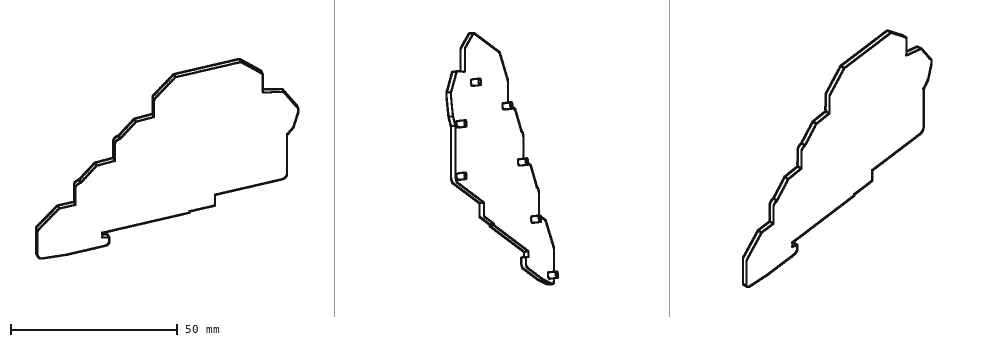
import cadquery as cq

length = 82.8
height = 61.3
plate_thickness = 1.5
pin_length = 2.5
pin_diameter = 2.0

head_front_y = 37.0
head_back_y = 71.5
head_top_front_y = 43.7
head_top_back_y = 64.6
head_shoulder_z = 54.4
head_base_z = 47.3
head_foot_shoulder_radius = 1.0
head_back_base_z = 47.0

step_run = 12.5
step_drop = 14.0
step_count = 2
ledge_length = 5.8
ledge_slope_drop = 0.25
step_slant = 5.05
step_slant_drop = 5.4
step_shoulder_z_drop = 7.0
shoulder_mid_run = 0.5
shoulder_mid_rise = 0.9

foot_nose_y = 6.8
foot_top_z = head_base_z - step_count * step_drop
foot_shoulder_z = 12.5
foot_slope_start_y = 9.3
foot_front_z = 0.9
foot_corner_radius = 1.65
hook_root_y = 20.5
hook_root_z = 3.7
hook_tip_y = 22.8
hook_tip_z = 3.1
hook_lower_radius = 1.4
hook_upper_radius = 0.4

rail_z = 5.5
rail_back_y = 48.3
pad_z = 6.0
pad_back_y = 56.3
base_z = 10.3
back_y = 79.2
base_corner_radius = 1.8
pad_corner_radius = 0.3

lobe_start_z = 27.7
lobe_lower = (81.2, 30.1)
lobe_tip_lower_z = 35.85
lobe_tip_upper_z = 37.25
lobe_slant_start = (82.05, 38.4)
lobe_top = (78.15, 45.2)
lobe_top_radius = 0.7

corner_search_reach = 0.04

head_pin_z = 45.2
pin_centres = [
    (65.8, head_pin_z),
    (40.5, head_pin_z),
    (28.1, head_pin_z - step_drop),
    (17.55, 16.3),
    (4.0, 2.7),
    (77.3, 28.7),
    (77.3, 12.25),
]


def add_step(outline, index):
    """Add a sloping ledge, a slanted face and a rounded shoulder down to the next ledge."""
    start_y = head_front_y - index * step_run
    start_z = head_base_z - index * step_drop
    nose_y = start_y - ledge_length
    nose_z = start_z - ledge_slope_drop
    slant_end_y = nose_y - step_slant
    slant_end_z = nose_z - step_slant_drop
    end_y = start_y - step_run
    shoulder_z = start_z - step_shoulder_z_drop
    return (
        outline.lineTo(nose_y, nose_z)
        .lineTo(slant_end_y, slant_end_z)
        .threePointArc((end_y + shoulder_mid_run, shoulder_z + shoulder_mid_rise), (end_y, shoulder_z))
        .lineTo(end_y, start_z - step_drop)
    )


def round_corner(plate, y, z, radius):
    """Round the plate edge running along X through the outline corner (y, z)."""
    reach = corner_search_reach
    corner = cq.selectors.BoxSelector(
        (-reach, y - reach, z - reach),
        (plate_thickness + reach, y + reach, z + reach),
    )
    return plate.edges("|X").edges(corner).fillet(radius)


def make_plate():
    outline = (
        cq.Workplane("YZ")
        .moveTo(head_back_y, head_back_base_z)
        .lineTo(head_back_y, head_shoulder_z)
        .lineTo(head_top_back_y, height)
        .lineTo(head_top_front_y, height)
        .lineTo(head_front_y, head_shoulder_z)
        .lineTo(head_front_y, head_base_z)
    )
    for index in range(step_count):
        outline = add_step(outline, index)
    outline = (
        outline.lineTo(foot_nose_y, foot_top_z)
        .lineTo(0, foot_shoulder_z)
        .lineTo(0, foot_front_z)
        .lineTo(foot_slope_start_y, 0)
        .lineTo(hook_tip_y, 0)
        .lineTo(hook_tip_y, hook_tip_z)
        .lineTo(hook_root_y, hook_root_z)
        .lineTo(hook_root_y, rail_z)
        .lineTo(rail_back_y, rail_z)
        .lineTo(rail_back_y, pad_z)
        .lineTo(pad_back_y, pad_z)
        .lineTo(pad_back_y, base_z)
        .lineTo(back_y, base_z)
        .lineTo(back_y, lobe_start_z)
        .lineTo(*lobe_lower)
        .lineTo(length, lobe_tip_lower_z)
        .lineTo(length, lobe_tip_upper_z)
        .lineTo(*lobe_slant_start)
        .lineTo(*lobe_top)
        .close()
    )
    plate = outline.extrude(plate_thickness)
    rounded_corners = [
        (head_back_y, head_shoulder_z, head_foot_shoulder_radius),
        (head_front_y, head_shoulder_z, head_foot_shoulder_radius),
        (0, foot_shoulder_z, head_foot_shoulder_radius),
        (0, foot_front_z, foot_corner_radius),
        (hook_tip_y, 0, hook_lower_radius),
        (hook_tip_y, hook_tip_z, hook_upper_radius),
        (pad_back_y, pad_z, pad_corner_radius),
        (back_y, base_z, base_corner_radius),
        (*lobe_top, lobe_top_radius),
    ]
    for y, z, radius in rounded_corners:
        plate = round_corner(plate, y, z, radius)
    return plate


def make_pins():
    return (
        cq.Workplane("YZ", origin=(-pin_length, 0, 0))
        .pushPoints(pin_centres)
        .circle(pin_diameter / 2)
        .extrude(pin_length)
    )


result = make_plate().union(make_pins())